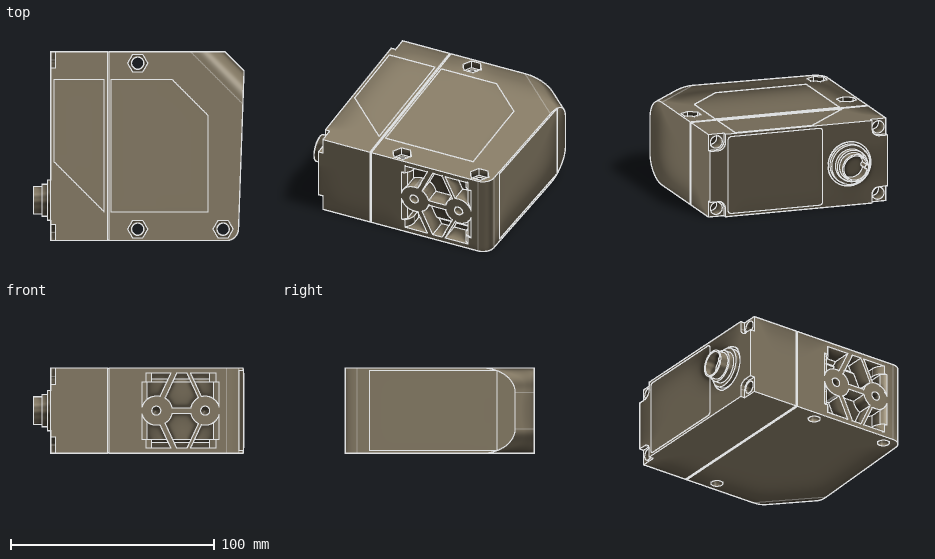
import cadquery as cq
import math


LENGTH = 95.2
WIDTH = 93.0
HEIGHT = 42.0
FRONT_DRAFT = 2.0
FRONT_CORNER_CUT = 9.4
FRONT_CORNER_ROUND = 12.0
FOOT_RADIUS = 6.0

GROOVE_START = 27.9
GROOVE_WIDTH = 0.7
GROOVE_DEPTH = 0.2

LABEL_DEPTH = 0.1
LABEL_BOTTOM = 14.2
LABEL_TOP = 79.3
COVER_LABEL_START = 1.6
COVER_LABEL_END = 26.3
MAIN_LABEL_START = 29.7
MAIN_LABEL_END = 77.3
MAIN_LABEL_CUT = 17.6
REAR_LABEL_START = 34.0
REAR_LABEL_END = 83.5
REAR_LABEL_HEIGHT = 39.1
REAR_LABEL_RADIUS = 1.7

WINDOW_START = 11.9
WINDOW_END = 74.6
WINDOW_HEIGHT = 39.3

NUT_INSET = 5.7
NUT_REAR_X = 42.8
NUT_FRONT_X = 84.8
NUT_FLATS = 8.6
NUT_DEPTH = 4.0
BOLT_DIAMETER = 5.9

SCREW_INSET = 4.1
SCREW_DIAMETER = 6.2
SCREW_DEPTH = 10.4
NOTCH_RADIUS = 3.9
NOTCH_DEPTH = 2.4

PLUG_Y = 19.9
PLUG_STEPS = ((10.0, 1.6), (8.0, 4.2), (6.8, 8.5))
PLUG_BORE_RADIUS = 6.1
PLUG_BORE_DEPTH = 6.2
PLUG_KEY_RADIUS = 1.1
PLUG_RING_RADIUS = 11.2
PLUG_RING_DEPTH = 0.8

POCKET_DEPTH = 8.8
POCKET_WIDE = (45.0, 83.1)
POCKET_WIDE_HEIGHT = 28.2
POCKET_TALL = (46.8, 81.3)
POCKET_TALL_HEIGHT = 36.8
POCKET_STEP = 1.6
NUT_PILLAR_RADIUS = 6.7
BOLT_PILLAR_RADIUS = 6.0
BOLT_PILLAR_HALF_WIDTH = 4.7
BOSS_X = (51.9, 76.0)
BOSS_RADIUS = 7.2
REAR_BOSS_STRETCH = 0.7
BOSS_HOLE_DIAMETER = 4.5
BOSS_HOLE_DEPTH = 10.4
DRILL_POINT_ANGLE = 118.0
CROSS_RIB_WIDTH = 2.7
REAR_RIB_WIDTH = 2.6
FRONT_RIB_WIDTH = 1.6
FRONT_RIB_OFFSET = 0.5
RIB_LEAN = 8.6

FRONT_BASE = LENGTH - (WIDTH - FRONT_CORNER_CUT) * math.tan(math.radians(FRONT_DRAFT))


def span_box(x_range, y_range, z_range):
    """Box between the given lower and upper limits."""
    sizes = [high - low for low, high in (x_range, y_range, z_range)]
    corner = (x_range[0], y_range[0], z_range[0])
    return cq.Workplane("XY").box(*sizes, centered=False).translate(corner)


def y_prism(outline, depth):
    """Extrude an X-Z outline from the mounting face inwards."""
    return cq.Workplane("XZ").polyline(outline).close().extrude(-depth)


def y_cylinder(x, radius, depth):
    return cq.Workplane("XZ").center(x, 0).circle(radius).extrude(-depth)


def rear_disc(radius, x_start, x_end):
    """Disc on the connector axis."""
    plane = cq.Workplane("YZ", origin=(x_start, PLUG_Y, 0))
    return plane.circle(radius).extrude(x_end - x_start)


def make_housing():
    outline = [
        (0, 0),
        (FRONT_BASE, 0),
        (LENGTH, WIDTH - FRONT_CORNER_CUT),
        (LENGTH - FRONT_CORNER_CUT, WIDTH),
        (0, WIDTH),
    ]
    block = cq.Workplane("XY").workplane(offset=-HEIGHT / 2).polyline(outline).close().extrude(HEIGHT)
    foot = cq.selectors.NearestToPointSelector((FRONT_BASE, 0, 0))
    block = block.edges("|Z").edges(foot).fillet(FOOT_RADIUS)
    middle = LENGTH - FRONT_CORNER_CUT / 2
    for z in (-HEIGHT / 2, HEIGHT / 2):
        corner_edge = cq.selectors.NearestToPointSelector((middle, WIDTH - FRONT_CORNER_CUT / 2, z))
        block = block.edges(corner_edge).fillet(FRONT_CORNER_ROUND)
    return block


def parting_groove():
    x_range = (GROOVE_START, GROOVE_START + GROOVE_WIDTH)
    outer = span_box(x_range, (0, WIDTH), (-HEIGHT / 2, HEIGHT / 2))
    inner = span_box(
        x_range,
        (GROOVE_DEPTH, WIDTH - GROOVE_DEPTH),
        (GROOVE_DEPTH - HEIGHT / 2, HEIGHT / 2 - GROOVE_DEPTH),
    )
    return outer.cut(inner)


def top_labels():
    cover_slant = COVER_LABEL_END - COVER_LABEL_START
    cover = [
        (COVER_LABEL_START, LABEL_TOP),
        (COVER_LABEL_END, LABEL_TOP),
        (COVER_LABEL_END, LABEL_BOTTOM),
        (COVER_LABEL_START, LABEL_BOTTOM + cover_slant),
    ]
    main = [
        (MAIN_LABEL_START, LABEL_BOTTOM),
        (MAIN_LABEL_END, LABEL_BOTTOM),
        (MAIN_LABEL_END, LABEL_TOP - MAIN_LABEL_CUT),
        (MAIN_LABEL_END - MAIN_LABEL_CUT, LABEL_TOP),
        (MAIN_LABEL_START, LABEL_TOP),
    ]
    plane = cq.Workplane("XY").workplane(offset=HEIGHT / 2)
    return plane.polyline(cover).close().polyline(main).close().extrude(-LABEL_DEPTH)


def rear_label():
    center_y = (REAR_LABEL_START + REAR_LABEL_END) / 2
    field = (
        cq.Workplane("YZ", origin=(0, center_y, 0))
        .rect(REAR_LABEL_END - REAR_LABEL_START, REAR_LABEL_HEIGHT)
        .extrude(LABEL_DEPTH)
    )
    return field.edges("|X").fillet(REAR_LABEL_RADIUS)


def front_window():
    """Thin slab lying against the leaning front face."""
    slab = span_box(
        (FRONT_BASE - LABEL_DEPTH, FRONT_BASE),
        (WINDOW_START, WINDOW_END),
        (-WINDOW_HEIGHT / 2, WINDOW_HEIGHT / 2),
    )
    return slab.rotate((FRONT_BASE, 0, 0), (FRONT_BASE, 0, 1), -FRONT_DRAFT)


def bolt_holes():
    places = [
        (NUT_REAR_X, NUT_INSET),
        (NUT_FRONT_X, NUT_INSET),
        (NUT_REAR_X, WIDTH - NUT_INSET),
    ]
    plane = cq.Workplane("XY").workplane(offset=HEIGHT / 2).pushPoints(places)
    bolts = plane.circle(BOLT_DIAMETER / 2).extrude(-HEIGHT)
    across_corners = NUT_FLATS / math.cos(math.pi / 6)
    nuts = plane.polygon(6, across_corners).extrude(-NUT_DEPTH)
    return bolts.union(nuts)


def cover_screws():
    """Rounded notches with screw holes in the four rear corners."""
    cutter = cq.Workplane("XY")
    reach = SCREW_INSET + NOTCH_RADIUS
    for y_side in (-1, 1):
        for z_side in (-1, 1):
            y_corner = WIDTH / 2 + y_side * WIDTH / 2
            z_corner = z_side * HEIGHT / 2
            notch = (
                cq.Workplane("YZ", origin=(0, y_corner, z_corner))
                .rect(2 * reach, 2 * reach)
                .extrude(NOTCH_DEPTH)
                .edges("|X")
                .fillet(NOTCH_RADIUS)
            )
            origin = (0, y_corner - y_side * SCREW_INSET, z_corner - z_side * SCREW_INSET)
            hole = cq.Workplane("YZ", origin=origin).circle(SCREW_DIAMETER / 2).extrude(SCREW_DEPTH)
            cutter = cutter.union(notch).union(hole)
    return cutter


def add_connector(body):
    """Stepped plug with a keyed bore, standing in a shallow ring recess."""
    tip = -PLUG_STEPS[-1][1]
    body = body.cut(rear_disc(PLUG_RING_RADIUS, 0, PLUG_RING_DEPTH))
    for radius, reach in PLUG_STEPS:
        body = body.union(rear_disc(radius, -reach, PLUG_RING_DEPTH))
    bore = rear_disc(PLUG_BORE_RADIUS, tip, tip + PLUG_BORE_DEPTH)
    key = (
        cq.Workplane("YZ", origin=(tip, PLUG_Y - PLUG_BORE_RADIUS, 0))
        .circle(PLUG_KEY_RADIUS)
        .extrude(PLUG_BORE_DEPTH)
    )
    return body.cut(bore.cut(key))


def pillar(x, radius, half_width, half_height):
    """Rounded wall around a bolt hole, continuing straight to the pocket floor."""
    x_range = (x - half_width, x + half_width)
    z_range = (-half_height, half_height)
    column = cq.Workplane("XY").workplane(offset=-half_height).center(x, NUT_INSET)
    column = column.circle(radius).extrude(2 * half_height)
    rounded = column.intersect(span_box(x_range, (NUT_INSET - radius, NUT_INSET), z_range))
    return rounded.union(span_box(x_range, (NUT_INSET, POCKET_DEPTH + POCKET_STEP), z_range))


def pocket_opening():
    half_wide = POCKET_WIDE_HEIGHT / 2
    half_tall = POCKET_TALL_HEIGHT / 2
    full_depth = POCKET_DEPTH + POCKET_STEP
    middle = span_box(POCKET_WIDE, (0, POCKET_DEPTH), (-half_wide, half_wide))
    for x in (NUT_REAR_X, NUT_FRONT_X):
        middle = middle.cut(pillar(x, BOLT_PILLAR_RADIUS, BOLT_PILLAR_HALF_WIDTH, half_wide))
    ends = cq.Workplane("XY")
    for side in (-1, 1):
        profile = [
            (0, side * half_wide),
            (0, side * half_tall),
            (full_depth, side * half_tall),
            (full_depth, side * (half_wide + POCKET_STEP)),
            (POCKET_DEPTH, side * half_wide),
        ]
        end = cq.Workplane("YZ", origin=(POCKET_TALL[0], 0, 0)).polyline(profile).close()
        ends = ends.union(end.extrude(POCKET_TALL[1] - POCKET_TALL[0]))
    for x in (NUT_REAR_X, NUT_FRONT_X):
        ends = ends.cut(pillar(x, NUT_PILLAR_RADIUS, NUT_PILLAR_RADIUS, half_tall))
    return middle.union(ends)


def pocket_ribs():
    """Two bosses tied together and braced to the long pocket edges."""
    depth = POCKET_DEPTH + POCKET_STEP
    half_tall = POCKET_TALL_HEIGHT / 2
    half_cross = CROSS_RIB_WIDTH / 2
    ribs = span_box(BOSS_X, (0, depth), (-half_cross, half_cross))
    rear_boss_x, front_boss_x = BOSS_X
    for x in (rear_boss_x, rear_boss_x + REAR_BOSS_STRETCH, front_boss_x):
        ribs = ribs.union(y_cylinder(x, BOSS_RADIUS, depth))
    stretch = (rear_boss_x, rear_boss_x + REAR_BOSS_STRETCH)
    ribs = ribs.union(span_box(stretch, (0, depth), (-BOSS_RADIUS, BOSS_RADIUS)))
    braces = (
        (rear_boss_x, RIB_LEAN, REAR_RIB_WIDTH),
        (front_boss_x + FRONT_RIB_OFFSET, -RIB_LEAN, FRONT_RIB_WIDTH),
    )
    for start_x, lean, width in braces:
        half_x = width / 2 * math.hypot(lean, half_tall) / half_tall
        for z_end in (-half_tall, half_tall):
            outline = [
                (start_x - half_x, 0),
                (start_x + half_x, 0),
                (start_x + lean + half_x, z_end),
                (start_x + lean - half_x, z_end),
            ]
            ribs = ribs.union(y_prism(outline, depth))
    return ribs


def boss_holes():
    """Blind holes ending in a drill point."""
    radius = BOSS_HOLE_DIAMETER / 2
    point = radius / math.tan(math.radians(DRILL_POINT_ANGLE / 2))
    profile = [(0, 0), (radius, 0), (radius, BOSS_HOLE_DEPTH), (0, BOSS_HOLE_DEPTH + point)]
    hole = cq.Workplane("XY").polyline(profile).close().revolve(360, (0, 0, 0), (0, 1, 0))
    return hole.translate((BOSS_X[0], 0, 0)).union(hole.translate((BOSS_X[1], 0, 0)))


housing = make_housing()
housing = housing.cut(parting_groove()).cut(top_labels()).cut(rear_label()).cut(front_window())
housing = housing.cut(pocket_opening().cut(pocket_ribs())).cut(boss_holes())
housing = housing.cut(bolt_holes()).cut(cover_screws())
result = add_connector(housing)